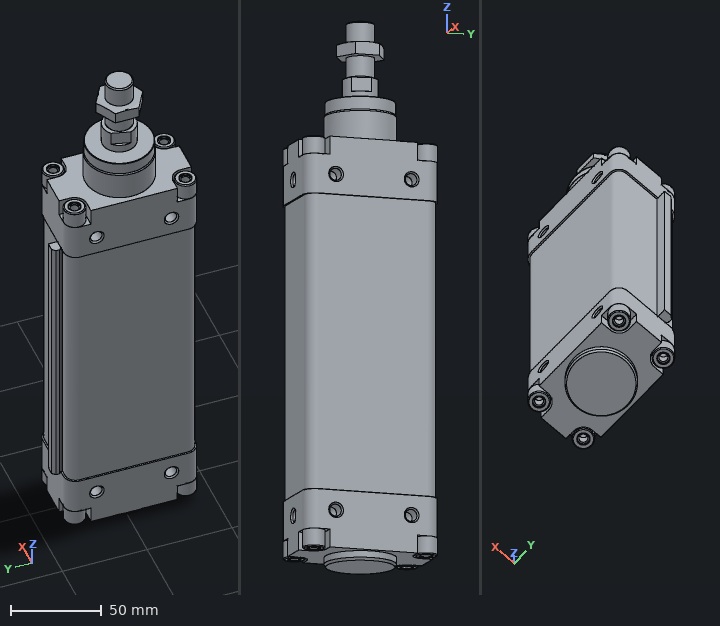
import cadquery as cq
import math

TOTAL_HEIGHT = 305.5
TOTAL_DEPTH = 83.5
BODY_BOTTOM = 5.2
BODY_TOP = 236.0
CAP_HEIGHT = 32.5
COLLAR_TOP = 261.0
SHOULDER_TOP = 273.7

BARREL_X = 44.0
BARREL_Y = 76.0
BARREL_CORNER_RADIUS = 6.0
CAP_OVERHANG = 1.0

COLLAR_DIAMETER = 40.0
COLLAR_NECK_DIAMETER = 39.0
COLLAR_STEP_Z = 253.5
COLLAR_STEP_HEIGHT = 1.0
COLLAR_EDGE_CHAMFER = 0.3
DISC_CHAMFER_RADIAL = 1.0
DISC_CHAMFER_HEIGHT = 1.5

SCREW_SPACING_X = 33.0
SCREW_SPACING_Y = 65.5
BOSS_DIAMETER = 12.5
BOSS_CHAMFER = 0.5
POCKET_DIAMETER = 14.5
POCKET_DEPTH = 10.0
SCREW_MOUTH_DIAMETER = 7.3
SCREW_RECESS_DIAMETER = 6.7
SCREW_RECESS_DEPTH = 1.2
SCREW_HOLE_DIAMETER = 5.0
SCREW_HOLE_DEPTH = 7.5

PORT_FROM_CAP_END = 21.0
PORT_MOUTH_DIAMETER = 8.5
PORT_DIAMETER = 6.7
PORT_DEPTH = 7.5
SIDE_HOLE_OFFSET = 22.0
SIDE_HOLE_DEPTH = 9.2
DRILL_TIP_ANGLE = 118.0

RAIL_INNER_X = -6.7
RAIL_OUTER_X = -13.5
RAIL_TOP_CHAMFER = 1.8
RAIL_FACE_END_Y = 40.3
RAIL_UNDERCUT = 1.2

ROD_DIAMETER = 20.0
THREAD_DIAMETER = 16.0
THREAD_CHAMFER = 0.75
FLAT_WIDTH = 16.5
FLAT_BOTTOM = 265.8
FLAT_TILT = -15.0

NUT_WIDTH = 24.0
HALF_HEX_ANGLE = 30.0
NUT_BOTTOM = 286.0
NUT_THICKNESS = 7.3
NUT_FACE_DIAMETER = 23.2
NUT_BEVEL_ANGLE = 15.0

CAP_X = BARREL_X + 2 * CAP_OVERHANG
CAP_Y = BARREL_Y + 2 * CAP_OVERHANG
CAP_CORNER_RADIUS = BARREL_CORNER_RADIUS + CAP_OVERHANG
RAIL_TOP_Y = TOTAL_DEPTH - CAP_Y / 2
BODY_HEIGHT = BODY_TOP - BODY_BOTTOM
SCREW_X = SCREW_SPACING_X / 2
SCREW_Y = SCREW_SPACING_Y / 2
BARREL_BOTTOM = BODY_BOTTOM + CAP_HEIGHT
BARREL_LENGTH = BODY_HEIGHT - 2 * CAP_HEIGHT
PORT_LEVELS = (BODY_BOTTOM + PORT_FROM_CAP_END, BODY_TOP - PORT_FROM_CAP_END)


def at_height(z):
    return cq.Workplane("XY").workplane(offset=z)


def rounded_block(size_x, size_y, corner_radius, bottom, height):
    return at_height(bottom).rect(size_x, size_y).extrude(height).edges("|Z").fillet(corner_radius)


def cylinder(diameter, bottom, top):
    return at_height(bottom).circle(diameter / 2).extrude(top - bottom)


def flat_hole(diameter, depth, mouth, direction):
    """Blind hole with a flat bottom, as a shape to cut away."""
    return cq.Solid.makeCylinder(diameter / 2, depth, cq.Vector(*mouth), cq.Vector(*direction))


def drilled_hole(diameter, depth, mouth, direction):
    """Blind hole with a conical drill tip, as a shape to cut away."""
    radius = diameter / 2
    tip_length = radius / math.tan(math.radians(DRILL_TIP_ANGLE / 2))
    axis = cq.Vector(*direction)
    tip = cq.Solid.makeCone(radius, 0, tip_length, cq.Vector(*mouth) + axis * depth, axis)
    return flat_hole(diameter, depth, mouth, direction).fuse(tip)


def countersink(mouth_diameter, hole_diameter, mouth, direction):
    """45 degree countersink that narrows from the mouth to the hole, as a shape to cut away."""
    depth = (mouth_diameter - hole_diameter) / 2
    start = cq.Vector(*mouth)
    return cq.Solid.makeCone(mouth_diameter / 2, hole_diameter / 2, depth, start, cq.Vector(*direction))


def cut_all(body, shapes):
    for shape in shapes:
        body = body.cut(cq.Workplane(shape))
    return body


def screw_pocket():
    """Corner pocket around one screw boss of the top cap, in the +X +Y corner."""
    reach = BOSS_DIAMETER
    radius = POCKET_DIAMETER / 2
    floor = BODY_TOP - POCKET_DEPTH
    return (
        at_height(floor)
        .moveTo(SCREW_X - radius, SCREW_Y + reach)
        .lineTo(SCREW_X - radius, SCREW_Y)
        .radiusArc((SCREW_X, SCREW_Y - radius), -radius)
        .lineTo(SCREW_X + reach, SCREW_Y - radius)
        .lineTo(SCREW_X + reach, SCREW_Y + reach)
        .close()
        .extrude(POCKET_DEPTH)
    )


def screw_boss():
    """Round screw boss standing in the pocket of the +X +Y corner of the top cap."""
    boss = (
        cylinder(BOSS_DIAMETER, BODY_TOP - POCKET_DEPTH, BODY_TOP)
        .faces(">Z")
        .chamfer(BOSS_CHAMFER)
        .translate((SCREW_X, SCREW_Y, 0))
    )
    down = (0, 0, -1)
    mouth = (SCREW_X, SCREW_Y, BODY_TOP)
    return cut_all(boss, [
        countersink(SCREW_MOUTH_DIAMETER, SCREW_RECESS_DIAMETER, mouth, down),
        flat_hole(SCREW_RECESS_DIAMETER, SCREW_RECESS_DEPTH, mouth, down),
        drilled_hole(SCREW_HOLE_DIAMETER, SCREW_HOLE_DEPTH, mouth, down),
    ])


def at_all_corners(shape):
    """The shape of the +X +Y top corner, mirrored to all eight corners of the body."""
    middle = (0, 0, BODY_BOTTOM + BODY_HEIGHT / 2)
    copies = [shape, shape.mirror("YZ")]
    copies += [copy.mirror("XZ") for copy in copies]
    copies += [copy.mirror("XY", middle) for copy in copies]
    return copies


def make_rail():
    top_step_x = RAIL_OUTER_X + RAIL_TOP_CHAMFER
    foot_y = BARREL_Y / 2 - CAP_OVERHANG
    foot_x = RAIL_OUTER_X + RAIL_UNDERCUT
    return (
        at_height(BARREL_BOTTOM)
        .polyline([
            (RAIL_INNER_X, foot_y),
            (RAIL_INNER_X, RAIL_TOP_Y),
            (top_step_x, RAIL_TOP_Y),
            (RAIL_OUTER_X, RAIL_TOP_Y - RAIL_TOP_CHAMFER),
            (RAIL_OUTER_X, RAIL_FACE_END_Y),
            (foot_x, RAIL_FACE_END_Y - RAIL_UNDERCUT),
            (foot_x, foot_y),
        ])
        .close()
        .extrude(BARREL_LENGTH)
    )


def make_collar():
    """Round collar with a slightly narrower neck above a bevelled step."""
    step = (COLLAR_DIAMETER - COLLAR_NECK_DIAMETER) / 2
    base = cylinder(COLLAR_DIAMETER, BODY_TOP, COLLAR_STEP_Z)
    base = base.faces(">Z").chamfer(COLLAR_STEP_HEIGHT, step)
    neck = cylinder(COLLAR_NECK_DIAMETER, COLLAR_STEP_Z, COLLAR_TOP)
    return base.union(neck.faces(">Z").chamfer(COLLAR_EDGE_CHAMFER))


def make_rear_disc():
    return (
        cylinder(COLLAR_DIAMETER, 0, BODY_BOTTOM)
        .faces("<Z")
        .chamfer(DISC_CHAMFER_HEIGHT, DISC_CHAMFER_RADIAL)
    )


def front_ports():
    """Flat-bottomed ports on the -Y face, one in each cap."""
    inward = (0, 1, 0)
    cuts = []
    for z in PORT_LEVELS:
        mouth = (0, -CAP_Y / 2, z)
        cuts.append(countersink(PORT_MOUTH_DIAMETER, PORT_DIAMETER, mouth, inward))
        cuts.append(flat_hole(PORT_DIAMETER, PORT_DEPTH, mouth, inward))
    return cuts


def side_holes():
    """Drilled holes on both X faces, two in each cap."""
    cuts = []
    for z in PORT_LEVELS:
        for y in (-SIDE_HOLE_OFFSET, SIDE_HOLE_OFFSET):
            for side in (-1, 1):
                mouth = (side * CAP_X / 2, y, z)
                inward = (-side, 0, 0)
                cuts.append(countersink(PORT_MOUTH_DIAMETER, PORT_DIAMETER, mouth, inward))
                cuts.append(drilled_hole(PORT_DIAMETER, SIDE_HOLE_DEPTH, mouth, inward))
    return cuts


def make_housing():
    barrel = rounded_block(
        BARREL_X,
        BARREL_Y,
        BARREL_CORNER_RADIUS,
        BARREL_BOTTOM,
        BARREL_LENGTH,
    )
    housing = barrel.union(make_rail())
    for cap_bottom in (BODY_BOTTOM, BODY_TOP - CAP_HEIGHT):
        housing = housing.union(rounded_block(CAP_X, CAP_Y, CAP_CORNER_RADIUS, cap_bottom, CAP_HEIGHT))

    for pocket in at_all_corners(screw_pocket()):
        housing = housing.cut(pocket)
    for boss in at_all_corners(screw_boss()):
        housing = housing.union(boss)

    housing = cut_all(housing, front_ports() + side_holes())
    return housing.union(make_collar()).union(make_rear_disc())


def make_rod():
    shoulder = cylinder(ROD_DIAMETER, COLLAR_TOP, SHOULDER_TOP)
    flat_height = SHOULDER_TOP - FLAT_BOTTOM
    across_flats = at_height(FLAT_BOTTOM).rect(FLAT_WIDTH, ROD_DIAMETER).extrude(flat_height)
    outside_flats = cylinder(2 * ROD_DIAMETER, FLAT_BOTTOM, SHOULDER_TOP).cut(across_flats)
    shoulder = shoulder.cut(outside_flats.rotate((0, 0, 0), (0, 0, 1), FLAT_TILT))
    thread = cylinder(THREAD_DIAMETER, SHOULDER_TOP, TOTAL_HEIGHT).faces("<Z or >Z").chamfer(THREAD_CHAMFER)
    return shoulder.union(thread)


def make_nut():
    nut_top = NUT_BOTTOM + NUT_THICKNESS
    corner_diameter = NUT_WIDTH / math.cos(math.radians(HALF_HEX_ANGLE))
    nut = at_height(NUT_BOTTOM).polygon(6, corner_diameter).extrude(NUT_THICKNESS)
    nut = nut.rotate((0, 0, 0), (0, 0, 1), HALF_HEX_ANGLE)

    face_radius = NUT_FACE_DIAMETER / 2
    corner_radius = corner_diameter / 2
    bevel_height = (corner_radius - face_radius) * math.tan(math.radians(NUT_BEVEL_ANGLE))
    envelope = (
        cq.Workplane("XZ")
        .polyline([
            (0, NUT_BOTTOM),
            (corner_radius, NUT_BOTTOM),
            (corner_radius, nut_top - bevel_height),
            (face_radius, nut_top),
            (0, nut_top),
        ])
        .close()
        .revolve(360, (0, 0, 0), (0, 1, 0))
    )
    return nut.intersect(envelope).cut(cylinder(THREAD_DIAMETER, NUT_BOTTOM, nut_top))


housing = make_housing()
rod = make_rod()
nut = make_nut()
result = cq.Compound.makeCompound([housing.val(), rod.val(), nut.val()])